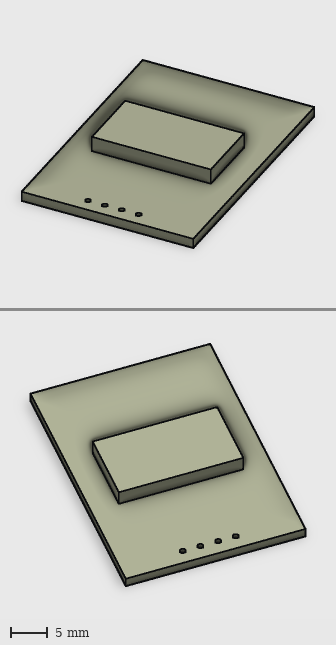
import cadquery as cq

board_width = 26.0
board_length = 36.5
board_thickness = 1.5

total_height = 3.8
block_width = 18.0
block_length = 10.0
block_height = total_height - board_thickness

hole_count = 4
hole_diameter = 0.8
hole_pitch = 2.55
hole_edge_distance = 2.08
hole_row_shift = -0.15


def make_board():
    return cq.Workplane("XY").box(
        board_width, board_length, board_thickness, centered=(True, True, False)
    )


def add_block(body):
    block = (
        cq.Workplane("XY")
        .workplane(offset=board_thickness)
        .box(block_width, block_length, block_height, centered=(True, True, False))
    )
    return body.union(block)


def cut_pin_holes(body):
    row_y = hole_edge_distance - board_length / 2
    first_x = hole_row_shift - hole_pitch * (hole_count - 1) / 2
    centers = [(first_x + i * hole_pitch, row_y) for i in range(hole_count)]
    pins = (
        cq.Workplane("XY")
        .pushPoints(centers)
        .circle(hole_diameter / 2)
        .extrude(board_thickness)
    )
    return body.cut(pins)


result = cut_pin_holes(add_block(make_board()))